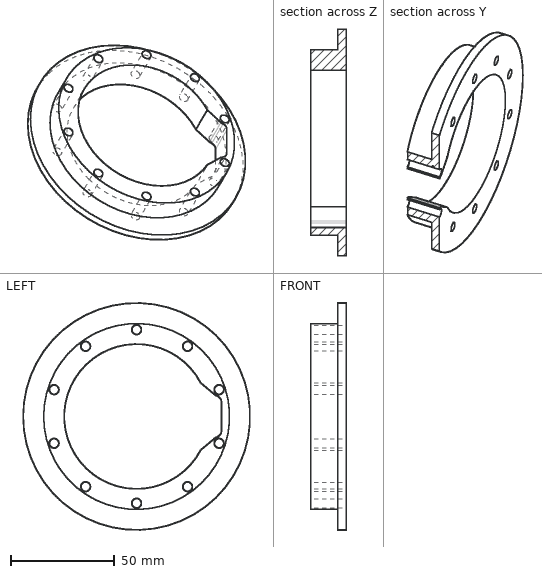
import cadquery as cq
import math

flange_diameter = 110.0
flange_thickness = 4.25
hub_diameter = 90.0
total_length = 17.25
bore_diameter = 70.0

hole_count = 10
hole_diameter = 4.5
bolt_circle_radius = 42.0
hole_pitch = 360.0 / hole_count

relief_depth = 41.0
relief_slope = 40.0
hole_wall = 1.0
relief_corner_radius = 3.0


def along_axis(diameter, start, length):
    """Cylinder about the X axis from X = start."""
    return cq.Workplane("YZ").workplane(offset=start).circle(diameter / 2).extrude(length)


def make_body():
    flange = along_axis(flange_diameter, total_length - flange_thickness, flange_thickness)
    hub = along_axis(hub_diameter, 0, total_length)
    return hub.union(flange).cut(along_axis(bore_diameter, 0, total_length))


def make_bolt_holes():
    return (
        cq.Workplane("YZ")
        .polarArray(bolt_circle_radius, hole_pitch / 2, 360, hole_count)
        .circle(hole_diameter / 2)
        .extrude(total_length)
    )


def polar_point(center, radius, angle):
    """Point at a distance and angle (radians) from a center in the YZ plane."""
    return center[0] + radius * math.cos(angle), center[1] + radius * math.sin(angle)


def direction(start, end):
    """Angle (radians) of the line from start to end in the YZ plane."""
    return math.atan2(end[1] - start[1], end[0] - start[0])


def make_relief():
    """Tapered pocket that ends in a flat and bends around the two nearest holes."""
    bore_radius = bore_diameter / 2
    wall_radius = hole_diameter / 2 + hole_wall
    slope = math.radians(relief_slope)
    hole = polar_point((0, 0), bolt_circle_radius, math.pi - math.radians(hole_pitch / 2))

    tangent_angle = slope - math.pi / 2
    tangent = polar_point(hole, wall_radius, tangent_angle)
    along_side = tangent[0] * math.cos(slope) + tangent[1] * math.sin(slope)
    axis_to_side = tangent[1] * math.cos(slope) - tangent[0] * math.sin(slope)
    side_length = -along_side - math.sqrt(bore_radius**2 - axis_to_side**2)
    mouth = polar_point(tangent, side_length, slope)

    corner_y = -relief_depth + relief_corner_radius
    center_distance = wall_radius + relief_corner_radius
    corner_z = hole[1] - math.sqrt(center_distance**2 - (corner_y - hole[0]) ** 2)
    corner = (corner_y, corner_z)
    blend_angle = direction(hole, corner)
    blend = polar_point(hole, wall_radius, blend_angle)

    wall_middle = polar_point(hole, wall_radius, (tangent_angle + blend_angle) / 2)
    corner_middle = polar_point(corner, relief_corner_radius, (direction(corner, blend) + math.pi) / 2)

    upper_half = (
        cq.Workplane("YZ")
        .moveTo(mouth[0], 0)
        .lineTo(*mouth)
        .lineTo(*tangent)
        .threePointArc(wall_middle, blend)
        .threePointArc(corner_middle, (-relief_depth, corner_z))
        .lineTo(-relief_depth, 0)
        .close()
        .extrude(total_length)
    )
    return upper_half.union(upper_half.mirror("XY"))


result = make_body().cut(make_bolt_holes()).cut(make_relief())